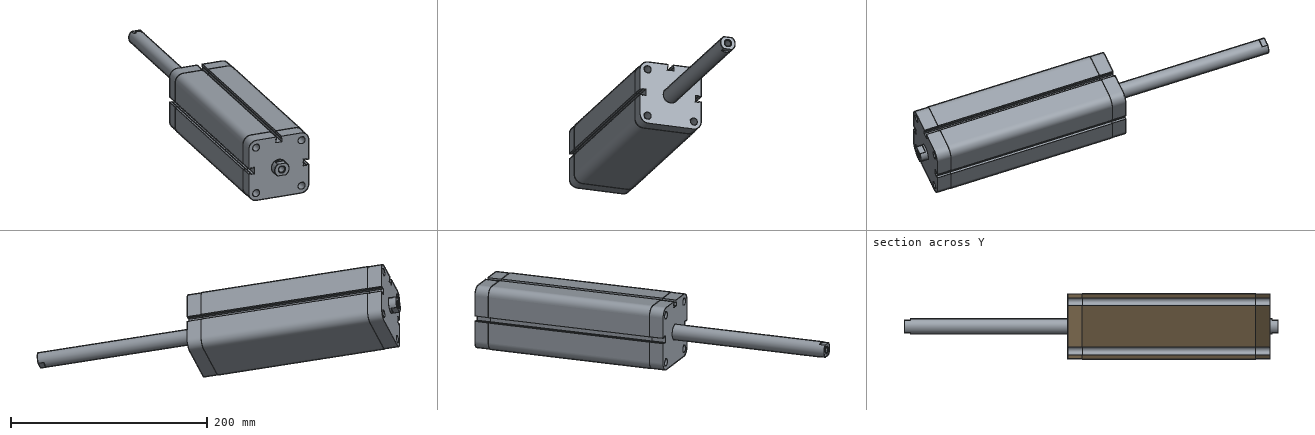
import cadquery as cq
import math


total_length = 381.0
rod_reach = 166.5
cap_length = 15.0
rear_stub_length = 8.0
front_face_x = rod_reach
rear_face_x = total_length - rear_stub_length
tube_front_x = front_face_x + cap_length
tube_rear_x = rear_face_x - cap_length

tube_width = 67.0
cap_inset = 0.25
cap_width = tube_width - 2 * cap_inset
flat_face_width = 48.8
bolt_hole_diameter = 7.5
bolt_spacing = 50.3

slot_width = 5.7
slot_depth = 6.5
undercut_width = 7.0
undercut_height = 3.5
slot_floor_distance = tube_width / 2 - slot_depth

rod_diameter = 16.0
cap_bore_diameter = 16.5
rod_chamfer = 0.2
flat_length = 6.0
across_flats = 13.0

thread_hole_diameter = 6.5
countersink_diameter = 8.0
thread_hole_depth = 19.0
drill_point_angle = 118.0


def make_slot(start_x, length, angle):
    """T-shaped slot cutter, turned about the rod axis from the top face."""
    neck_height = 2 * slot_depth
    start_face = cq.Workplane("YZ", origin=(start_x, 0, slot_floor_distance))
    neck = start_face.rect(slot_width, neck_height).extrude(length)
    neck = neck.translate((0, 0, neck_height / 2))
    undercut = start_face.rect(undercut_width, undercut_height).extrude(length)
    undercut = undercut.translate((0, 0, undercut_height / 2))
    return neck.union(undercut).rotate((0, 0, 0), (1, 0, 0), angle)


def make_section(start_x, end_x, width, bore_diameter):
    """Rounded square block with sensor slots, bolt holes and a rod bore."""
    length = end_x - start_x
    corner_radius = (width - flat_face_width) / 2
    start_face = cq.Workplane("YZ", origin=(start_x, 0, 0))
    block = start_face.rect(width, width).extrude(length).edges("|X").fillet(corner_radius)
    for angle in (-90, 0, 90):
        block = block.cut(make_slot(start_x, length, angle))
    bolt_holes = (
        start_face.rect(bolt_spacing, bolt_spacing, forConstruction=True)
        .vertices()
        .circle(bolt_hole_diameter / 2)
        .extrude(length)
    )
    rod_bore = start_face.circle(bore_diameter / 2).extrude(length)
    return block.cut(bolt_holes).cut(rod_bore)


def make_rod_end_cutter():
    """Wrench flats and threaded hole for the rod end at X = 0."""
    flat_cut_depth = (rod_diameter - across_flats) / 2
    flat_center_z = (across_flats + flat_cut_depth) / 2
    top_flat = cq.Workplane("XY").box(flat_length, rod_diameter, flat_cut_depth)
    top_flat = top_flat.translate((flat_length / 2, 0, flat_center_z))
    flats = top_flat.union(top_flat.mirror("XY"))

    hole_radius = thread_hole_diameter / 2
    countersink_radius = countersink_diameter / 2
    countersink_depth = countersink_radius - hole_radius
    point_length = hole_radius / math.tan(math.radians(drill_point_angle / 2))
    thread_hole = (
        cq.Workplane("XZ")
        .polyline([
            (0, 0),
            (0, countersink_radius),
            (countersink_depth, hole_radius),
            (thread_hole_depth, hole_radius),
            (thread_hole_depth + point_length, 0),
        ])
        .close()
        .revolve(360, (0, 0, 0), (1, 0, 0))
    )
    return flats.union(thread_hole)


def make_rod():
    """Chamfered through rod with the same flats and threaded hole at both ends."""
    rod = cq.Workplane("YZ").circle(rod_diameter / 2).extrude(total_length)
    rod = rod.faces("<X or >X").chamfer(rod_chamfer)
    front_cutter = make_rod_end_cutter()
    rear_cutter = front_cutter.mirror("YZ").translate((total_length, 0, 0))
    return rod.cut(front_cutter).cut(rear_cutter)


front_cap = make_section(front_face_x, tube_front_x, cap_width, cap_bore_diameter)
tube = make_section(tube_front_x, tube_rear_x, tube_width, rod_diameter)
rear_cap = make_section(tube_rear_x, rear_face_x, cap_width, cap_bore_diameter)
rod = make_rod()

result = cq.Compound.makeCompound([front_cap.val(), tube.val(), rear_cap.val(), rod.val()])